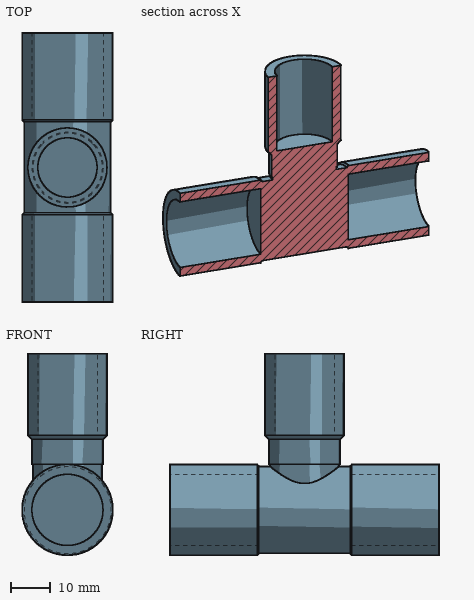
import cadquery as cq

run_length = 68.0
run_socket_diameter = 23.0
run_body_diameter = 22.0
run_bore_diameter = 18.0
run_socket_length = 22.5

branch_top = 39.5
branch_socket_diameter = 20.0
branch_neck_diameter = 18.0
branch_root_diameter = 17.5
branch_bore_diameter = 15.0
branch_socket_length = 21.7

run_bevel = (run_socket_diameter - run_body_diameter) / 2
branch_bevel = (branch_socket_diameter - branch_neck_diameter) / 2

run_bore_depth = run_socket_length - run_bevel
branch_bore_depth = branch_socket_length - branch_bevel

neck_bottom = run_socket_diameter / 2


def upright_cylinder(bottom, top, diameter):
    """Cylinder around the Z axis between two heights."""
    return cq.Workplane("XY").workplane(offset=bottom).circle(diameter / 2).extrude(top - bottom)


def upright_socket(mouth_height, diameter, length, bevel):
    """Solid socket with its mouth facing +Z and a bevel at its lower end."""
    bottom = mouth_height - length
    return upright_cylinder(bottom, mouth_height, diameter).faces("<Z").chamfer(bevel)


def turn_to_run_end(shape, direction):
    """Swing a shape from the +Z axis to the +Y (direction -1) or -Y (direction 1) axis."""
    return shape.rotate((0, 0, 0), (1, 0, 0), 90 * direction)


def make_run():
    """Solid run: a central body with a socket at each end."""
    half_length = run_length / 2
    body_half_length = half_length - run_bore_depth
    body = turn_to_run_end(upright_cylinder(-body_half_length, body_half_length, run_body_diameter), 1)
    socket = upright_socket(half_length, run_socket_diameter, run_socket_length, run_bevel)
    for direction in (-1, 1):
        body = body.union(turn_to_run_end(socket, direction))
    return body


def make_branch():
    """Solid branch: root, neck and socket stacked upward from the run axis."""
    socket_bottom = branch_top - branch_socket_length
    root = upright_cylinder(0, neck_bottom, branch_root_diameter)
    neck = upright_cylinder(neck_bottom, socket_bottom, branch_neck_diameter)
    socket = upright_socket(branch_top, branch_socket_diameter, branch_socket_length, branch_bevel)
    return root.union(neck).union(socket)


def cut_bores(tee):
    """Cut a blind bore into each of the three socket mouths."""
    run_mouth = run_length / 2
    run_bore = upright_cylinder(run_mouth - run_bore_depth, run_mouth, run_bore_diameter)
    for direction in (-1, 1):
        tee = tee.cut(turn_to_run_end(run_bore, direction))
    branch_bore = upright_cylinder(branch_top - branch_bore_depth, branch_top, branch_bore_diameter)
    return tee.cut(branch_bore)


result = cut_bores(make_run().union(make_branch()))